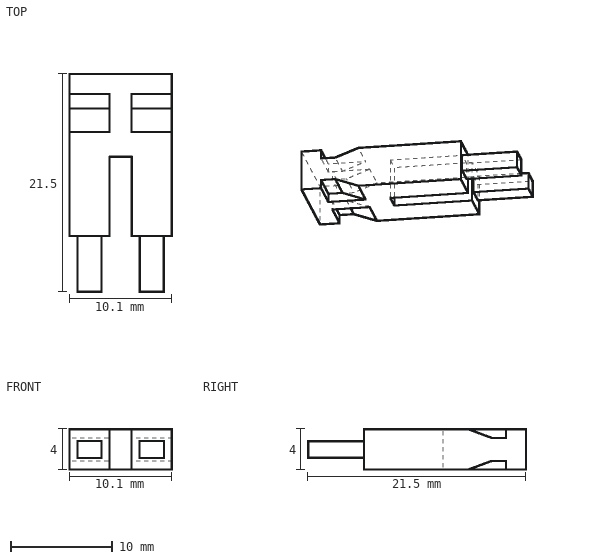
import cadquery as cq

total_length = 21.5
body_width = 10.1
body_thickness = 4.0
body_length = 16.0

slot_width = 2.17
slot_length = 7.8
leg_width = (body_width - slot_width) / 2
leg_offset = (slot_width + leg_width) / 2

pin_width = 2.39
pin_thickness = 1.65
pin_length = total_length - body_length

recess_start = 1.98
recess_floor_length = 1.42
recess_ramp_length = 2.32
recess_depth = 0.85

back_y = total_length / 2
leg_end_y = back_y - body_length
top_z = body_thickness / 2


def make_body():
    """Flat block with the slot open at the pin end."""
    block = cq.Workplane("XY").box(body_width, body_length, body_thickness)
    block = block.translate((0, back_y - body_length / 2, 0))
    slot = cq.Workplane("XY").box(slot_width, slot_length, body_thickness)
    return block.cut(slot.translate((0, leg_end_y + slot_length / 2, 0)))


def make_pin(x):
    """Rectangular pin projecting from the end of a leg."""
    pin = cq.Workplane("XY").box(pin_width, pin_length, pin_thickness)
    return pin.translate((x, leg_end_y - pin_length / 2, 0))


def make_top_recess(x):
    """Grip recess: a steep back wall, a flat floor and a ramp up to the top face."""
    wall_y = back_y - recess_start
    floor_end_y = wall_y - recess_floor_length
    ramp_end_y = floor_end_y - recess_ramp_length
    floor_z = top_z - recess_depth
    profile = [
        (wall_y, top_z),
        (wall_y, floor_z),
        (floor_end_y, floor_z),
        (ramp_end_y, top_z),
    ]
    recess = cq.Workplane("YZ").polyline(profile).close().extrude(leg_width / 2, both=True)
    return recess.translate((x, 0, 0))


result = make_body()
for leg_x in (-leg_offset, leg_offset):
    top_recess = make_top_recess(leg_x)
    result = result.union(make_pin(leg_x))
    result = result.cut(top_recess).cut(top_recess.mirror("XY"))